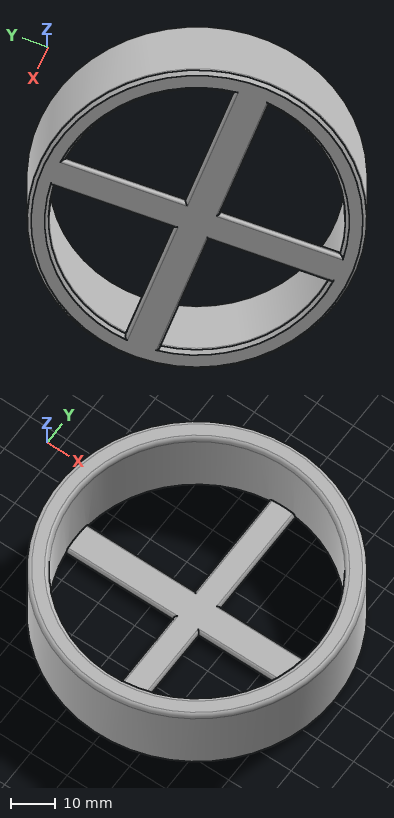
import cadquery as cq

outer_radius = 38.0
inner_radius = 33.0
height = 22.0
rim_fillet = 1.1

taper_inset = 0.15
taper_top = 1.5
chamfer_top = 1.0
chamfer_inset = 1.0

bar_x_width = 8.3
bar_y_width = 7.0
bar_thickness = 2.3
bar_edge_width = 0.7
bar_edge_height = 1.0
bar_length = outer_radius + inner_radius


def make_ring():
    """Revolved ring with rounded top rims and two-step bevels at the bottom."""
    profile = [
        (inner_radius, height),
        (inner_radius, taper_top),
        (inner_radius + taper_inset, chamfer_top),
        (inner_radius + chamfer_inset, 0),
        (outer_radius - chamfer_inset, 0),
        (outer_radius - taper_inset, chamfer_top),
        (outer_radius, taper_top),
        (outer_radius, height),
    ]
    ring = cq.Workplane("XZ").polyline(profile).close().revolve(360, (0, 0, 0), (0, 1, 0))
    return ring.faces(">Z").edges().fillet(rim_fillet)


def make_bar(plane, width):
    """Bar centred on the plane's normal, with elliptical long edges above and below."""
    half_width = width / 2
    flat = half_width - bar_edge_width
    side_top = bar_thickness - bar_edge_height
    reach = (bar_edge_width, bar_edge_height)
    return (
        cq.Workplane(plane)
        .moveTo(-flat, 0)
        .lineTo(flat, 0)
        .ellipseArc(*reach, angle1=-90, angle2=0, startAtCurrent=True)
        .lineTo(half_width, side_top)
        .ellipseArc(*reach, angle1=0, angle2=90, startAtCurrent=True)
        .lineTo(-flat, bar_thickness)
        .ellipseArc(*reach, angle1=90, angle2=180, startAtCurrent=True)
        .lineTo(-half_width, bar_edge_height)
        .ellipseArc(*reach, angle1=180, angle2=270, startAtCurrent=True)
        .close()
        .extrude(bar_length / 2, both=True)
    )


bar_x = make_bar("YZ", bar_x_width)
bar_y = make_bar("XZ", bar_y_width)
result = make_ring().union(bar_x).union(bar_y)